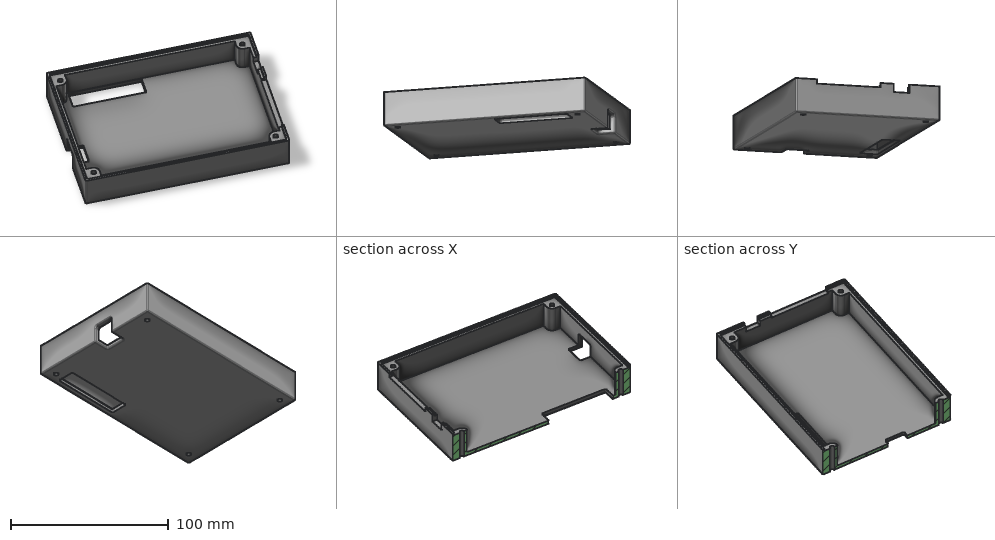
import cadquery as cq

length_x = 95.7
length_y = 133.8
height = 22.0
wall = 3.5
floor = 3.0
corner_radius = 1.0
bottom_radius = 1.0

lip_width = 1.5
lip_height = 1.5
lip_corner_radius = 0.8

hole_diameter = 3.1
hole_inset = 7.2
post_reach = 4.0

deep_notch_start = 20.2
deep_notch_end = 30.6
deep_notch_depth = 5.4
long_notch_start = 39.2
long_notch_end = 81.6
long_notch_depth = 2.8

cable_start = 49.1
cable_width = 14.2
cable_height = 12.3
cable_depth = 11.1
cable_top_radius = 1.7
cable_floor_radius = 1.0
cable_rim_radius = 1.0

window_gap = 0.4
window_width = 11.8
window_length = 48.2
window_start = 13.2
window_radius = 1.0

left = -length_x / 2
front = -length_y / 2
back = length_y / 2
selection_margin = 0.1
ledge_height = height - lip_height
hole_x = length_x / 2 - hole_inset
hole_y = length_y / 2 - hole_inset


def block(x_start, y_start, z_start, size_x, size_y, size_z):
    """Box placed by its lowest corner."""
    box = cq.Workplane("XY").box(size_x, size_y, size_z, centered=False)
    return box.translate((x_start, y_start, z_start))


def outer_box():
    box = block(left, front, 0, length_x, length_y, height)
    return box.edges("|Z").fillet(corner_radius).faces("<Z").edges().fillet(bottom_radius)


def cavity():
    """Inside of the box, widened above the ledge so that a thin lip is left."""
    inner = block(
        left + wall,
        front + wall,
        floor,
        length_x - 2 * wall,
        length_y - 2 * wall,
        height - floor,
    )
    recess = block(
        left + lip_width,
        front + lip_width,
        ledge_height,
        length_x - 2 * lip_width,
        length_y - 2 * lip_width,
        lip_height,
    )
    return inner.union(recess.edges("|Z").fillet(lip_corner_radius))


def corner_post(side_x, side_y):
    """Post filling one inner corner up to the ledge, rounded about its screw hole."""
    size = hole_inset + post_reach - lip_width
    post = block(left + lip_width, front + lip_width, floor, size, size, ledge_height - floor)
    post = post.edges("|Z and >X and >Y").fillet(post_reach)
    if side_x > 0:
        post = post.mirror("YZ")
    if side_y > 0:
        post = post.mirror("XZ")
    return post


def back_notch(start, end, depth):
    return block(left + start, back - wall, height - depth, end - start, wall, depth)


def cable_opening():
    through_wall = block(left + cable_start, front, 0, cable_width, wall, cable_height)
    through_wall = through_wall.edges("|Y and >Z").fillet(cable_top_radius)
    through_floor = block(left + cable_start, front, 0, cable_width, cable_depth, floor)
    through_floor = through_floor.edges("|Z and >Y").fillet(cable_floor_radius)
    return through_wall.union(through_floor)


def round_cable_rim(body):
    """Round the outer edge of the cable opening where it meets the -Y face."""
    rim_zone = cq.selectors.BoxSelector(
        (left + cable_start - selection_margin, front - selection_margin, bottom_radius),
        (
            left + cable_start + cable_width + selection_margin,
            front + selection_margin,
            cable_height + selection_margin,
        ),
    )
    return body.edges(rim_zone).fillet(cable_rim_radius)


def floor_window():
    window = block(left + wall + window_gap, front + window_start, 0, window_width, window_length, floor)
    return window.edges("|Z").fillet(window_radius)


result = outer_box().cut(cavity())
for side_x in (-1, 1):
    for side_y in (-1, 1):
        result = result.union(corner_post(side_x, side_y))
screw_holes = cq.Workplane("XY").rect(2 * hole_x, 2 * hole_y, forConstruction=True).vertices()
result = result.cut(screw_holes.circle(hole_diameter / 2).extrude(height))
result = result.cut(back_notch(deep_notch_start, deep_notch_end, deep_notch_depth))
result = result.cut(back_notch(long_notch_start, long_notch_end, long_notch_depth))
result = round_cable_rim(result.cut(cable_opening()))
result = result.cut(floor_window())